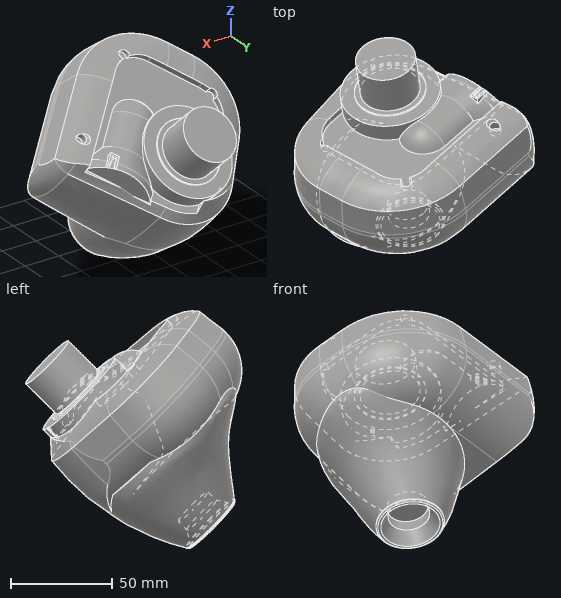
import cadquery as cq
import math


AXIS_DIRECTION = (-10.7, 70.7, 69.9)
LENGTH_DIRECTION = (65.4, 58.0, -48.6)

NOZZLE_LEVEL = -59.6
SHELL_BOTTOM = -23.8
BELLY_LEVEL = 4.8
SEAM_LEVEL = 19.4
FLOOR_LEVEL = 23.8
CROWN_LEVEL = 28.5
FLANGE_ROOT = 21.4
FLANGE_TOP = 33.3
SHAFT_TOP = 55.5

AXIS_ROUND = 33.0
LEFT_SIDE = -62.5
FRONT_SIDE = -62.1
END_SIDE = 32.1
BACK_CORNER = 35.9
BACK_CORNER_Y = -5.7
FRONT_CORNER = 41.6
END_CORNER = 10.7
SHELL_REACH = 83.1
BELLY_BULGE = 1.8
BOTTOM_FILLET = 26.1

CROWN_STEPS = [(0, SEAM_LEVEL), (5.9, 24.5), (11.9, 27.0), (21.4, CROWN_LEVEL)]
END_LEAN = 4.2

LOWER_END = [
    (SHELL_BOTTOM, 29.5, 27.3),
    (-11.9, 32.8, 33.8),
    (BELLY_LEVEL, 34.0, 37.3),
    (SEAM_LEVEL, AXIS_ROUND, 34.9),
]
CROWN_END = [LOWER_END[-1], (CROWN_LEVEL, 24.7, 30.3)]

NOZZLE_RADIUS = 17.0
LIP_HEIGHT = 1.2
LIP_BEVEL = 0.8

NECK_SECTIONS = [
    (NOZZLE_LEVEL + LIP_HEIGHT, NOZZLE_RADIUS, NOZZLE_RADIUS, 0),
    (-51.1, 22.0, 21.1, 0.8),
    (-42.8, 27.2, 24.7, 2.3),
    (-33.3, 33.7, 28.5, 5.2),
    (-26.1, 39.9, 32.3, 9.4),
    (-20.2, 44.5, 35.0, 13.0),
    (-11.9, 45.4, 35.0, 12.8),
]
OVERHANG_ANGLE = 200.0

SOCKET_MOUTH = 14.7
SOCKET_BORE = 10.3
SOCKET_CONE_DEPTH = 7.1
SOCKET_DEPTH = 13.1

RECESS_LEFT = -44.0
RECESS_FRONT = -46.3
RECESS_BACK = 16.6
RECESS_CORNER = 16.6
NOTCH_RADIUS = 2.7
NOTCH_CENTRES = [(-41.8, 6.8), (-39.2, -43.7)]

MOUND_Y = -27.9
MOUND_TOP = 32.1
MOUND_RADIUS = 14.3
MOUND_START = -7.1
FLARE_START = 14.3
FLARE_END = 24.9
FLARE_RADIUS = 23.8
FLARE_TOP = 33.5

HOOK_Y = -36.8
HOOK_LENGTH = 7.1
HOOK_WIDTH = 4.8
HOOK_TOP = 32.8
HOOK_WALL = 1.2
HOOK_DEPTH = 1.4

SCREW_CENTRE = (16.5, -53.5)
SCREW_RADIUS = 2.6
SCREW_SEAT = 25.7
SCREW_BOTTOM = 21.4

FLANGE_RADIUS = 24.9
COLLAR_RADIUS = 17.8
COLLAR_HEIGHT = 0.8
SHAFT_RADIUS = 15.0
KEYWAY_WIDTH = 1.4
KEYWAY_DEPTH = 1.0
KEYWAY_ANGLE = 63.0


def polar(centre, radius, angle):
    """Point on a circle; the angle is in degrees from +X."""
    turn = math.radians(angle)
    return (centre[0] + radius * math.cos(turn), centre[1] + radius * math.sin(turn))


def tangent_angle(centre_a, radius_a, centre_b, radius_b):
    """Direction of the normal of the outer line that touches both circles."""
    dx = centre_a[0] - centre_b[0]
    dy = centre_a[1] - centre_b[1]
    heading = math.degrees(math.atan2(dy, dx))
    opening = math.degrees(math.acos((radius_b - radius_a) / math.hypot(dx, dy)))
    return (heading - opening) % 360


def shell_outline(level, grow):
    """Outline of the shell, running on past its end."""
    back = (LEFT_SIDE + BACK_CORNER, BACK_CORNER_Y)
    front = (LEFT_SIDE + FRONT_CORNER, FRONT_SIDE + FRONT_CORNER)
    back_radius = BACK_CORNER + grow
    front_radius = FRONT_CORNER + grow
    axis_radius = AXIS_ROUND + grow
    touch = tangent_angle(back, back_radius, (0, 0), axis_radius)
    return (
        cq.Workplane("XY")
        .workplane(offset=level)
        .moveTo(SHELL_REACH, FRONT_SIDE - grow)
        .lineTo(*polar(polar((0, 0), axis_radius, touch), SHELL_REACH, touch - 90))
        .lineTo(*polar(back, back_radius, touch))
        .threePointArc(polar(back, back_radius, (touch + 180) / 2), polar(back, back_radius, 180))
        .lineTo(*polar(front, front_radius, 180))
        .threePointArc(polar(front, front_radius, 225), polar(front, front_radius, 270))
        .close()
    )


def end_outline(level, axis_radius, end):
    """Region that keeps the flat end, its front corner and the round about the axis."""
    front = FRONT_SIDE - BELLY_BULGE
    corner = (end - END_CORNER, front + END_CORNER)
    return (
        cq.Workplane("XY")
        .workplane(offset=level)
        .moveTo(-SHELL_REACH, front)
        .lineTo(corner[0], front)
        .threePointArc(polar(corner, END_CORNER, -45), polar(corner, END_CORNER, 0))
        .lineTo(axis_radius, 0)
        .threePointArc(polar((0, 0), axis_radius, 45), (0, axis_radius))
        .lineTo(-SHELL_REACH, axis_radius)
        .close()
    )


def loft(sections, ruled=False):
    wires = [section.val() for section in sections]
    return cq.Workplane(cq.Solid.makeLoft(wires, ruled))


def shell():
    """Rounded bowl and belly below the seam, domed crown above it."""
    bowl = (
        shell_outline(SHELL_BOTTOM, BELLY_BULGE)
        .extrude(BELLY_LEVEL - SHELL_BOTTOM)
        .faces("<Z")
        .edges("not >X")
        .fillet(BOTTOM_FILLET)
    )
    belly_sections = [shell_outline(BELLY_LEVEL, BELLY_BULGE), shell_outline(SEAM_LEVEL, 0)]
    belly = loft(belly_sections, ruled=True)
    crown = loft([shell_outline(level, -inset) for inset, level in CROWN_STEPS])
    lower_end = loft([end_outline(*section) for section in LOWER_END])
    crown_end = loft([end_outline(*section) for section in CROWN_END], ruled=True)
    return bowl.union(belly).intersect(lower_end).union(crown.intersect(crown_end))


def neck_outline(level, half_length, half_width, shift):
    """Oval whose long axis points at the neck's overhang."""
    return (
        cq.Workplane("XY")
        .workplane(offset=level)
        .center(*polar((0, 0), shift, OVERHANG_ANGLE))
        .ellipse(half_length, half_width, rotation_angle=OVERHANG_ANGLE)
    )


def neck():
    """Skewed cone that narrows to the nozzle."""
    cone = loft([neck_outline(*section) for section in NECK_SECTIONS])
    rim = cq.Workplane("XY").workplane(offset=NOZZLE_LEVEL).circle(NOZZLE_RADIUS).extrude(LIP_HEIGHT)
    return cone.union(rim.faces("<Z").edges().chamfer(LIP_BEVEL))


def socket():
    """Tapered mouth and blind bore of the nozzle."""
    cone_level = NOZZLE_LEVEL + SOCKET_CONE_DEPTH
    bore_level = NOZZLE_LEVEL + SOCKET_DEPTH
    return (
        cq.Workplane("XZ")
        .moveTo(0, NOZZLE_LEVEL)
        .lineTo(SOCKET_MOUTH, NOZZLE_LEVEL)
        .lineTo(SOCKET_BORE, cone_level)
        .lineTo(SOCKET_BORE, bore_level)
        .lineTo(0, bore_level)
        .close()
        .revolve(360, (0, 0, 0), (0, 1, 0))
    )


def recess():
    """Shallow pocket around the flange with a notch at each left corner."""
    height = CROWN_LEVEL - FLOOR_LEVEL
    floor = cq.Workplane("XY").workplane(offset=FLOOR_LEVEL)
    length = SHELL_REACH - RECESS_LEFT
    width = RECESS_BACK - RECESS_FRONT
    pocket = (
        floor.center(RECESS_LEFT, RECESS_FRONT)
        .rect(length, width, centered=False)
        .extrude(height)
        .edges("|Z and <X")
        .fillet(RECESS_CORNER)
    )
    notches = floor.pushPoints(NOTCH_CENTRES).circle(NOTCH_RADIUS).extrude(height)
    return pocket.union(notches)


def mound():
    """Half-buried rod with a ball end that flares towards the flat end."""
    axis_z = MOUND_TOP - MOUND_RADIUS
    ball = cq.Workplane("XY").sphere(MOUND_RADIUS).translate((MOUND_START, MOUND_Y, axis_z))
    along = cq.Workplane("YZ").workplane(offset=MOUND_START)
    rod = along.center(MOUND_Y, axis_z).circle(MOUND_RADIUS).extrude(FLARE_START - MOUND_START)
    flare_z = FLARE_TOP - FLARE_RADIUS
    flare = (
        cq.Workplane("YZ")
        .workplane(offset=FLARE_START)
        .center(MOUND_Y, axis_z)
        .circle(MOUND_RADIUS)
        .workplane(offset=FLARE_END - FLARE_START)
        .center(0, flare_z - axis_z)
        .circle(FLARE_RADIUS)
        .loft()
    )
    end = (
        cq.Workplane("YZ")
        .workplane(offset=FLARE_END)
        .center(MOUND_Y, flare_z)
        .circle(FLARE_RADIUS)
        .extrude(END_SIDE - FLARE_END)
    )
    inside = (
        cq.Workplane("XY")
        .workplane(offset=FLOOR_LEVEL - 1.2)
        .center(RECESS_LEFT, RECESS_FRONT)
        .rect(END_SIDE - RECESS_LEFT, RECESS_BACK - RECESS_FRONT, centered=False)
        .extrude(FLARE_TOP)
    )
    return ball.union(rod).union(flare).union(end).intersect(inside)


def end_trim():
    """Wedge that leans the end of the mound back above the seam."""
    return (
        cq.Workplane("XZ")
        .moveTo(END_SIDE, SEAM_LEVEL)
        .lineTo(END_SIDE - END_LEAN, FLANGE_TOP + COLLAR_HEIGHT)
        .lineTo(SHELL_REACH, FLANGE_TOP + COLLAR_HEIGHT)
        .lineTo(SHELL_REACH, SEAM_LEVEL)
        .close()
        .extrude(SHELL_REACH, both=True)
    )


def hook():
    """Open U standing on the end of the mound."""
    right = END_SIDE - END_LEAN
    left = right - HOOK_LENGTH
    block = cq.Workplane("XY").box(
        HOOK_LENGTH, HOOK_WIDTH, HOOK_TOP - FLOOR_LEVEL, centered=(False, True, False)
    )
    groove = (
        cq.Workplane("XY")
        .workplane(offset=HOOK_TOP - FLOOR_LEVEL - HOOK_DEPTH)
        .center(HOOK_WALL, 0)
        .rect(HOOK_LENGTH, HOOK_WIDTH - 2 * HOOK_WALL, centered=(False, True))
        .extrude(HOOK_DEPTH)
    )
    return block.cut(groove).translate((left, HOOK_Y, FLOOR_LEVEL))


def screw_hole():
    """Blind bore with a 45-degree countersink."""
    rise = CROWN_LEVEL - SCREW_SEAT
    bore = (
        cq.Workplane("XY")
        .workplane(offset=SCREW_BOTTOM)
        .center(*SCREW_CENTRE)
        .circle(SCREW_RADIUS)
        .extrude(CROWN_LEVEL - SCREW_BOTTOM)
    )
    countersink = cq.Solid.makeCone(
        SCREW_RADIUS, SCREW_RADIUS + rise, rise, pnt=(*SCREW_CENTRE, SCREW_SEAT)
    )
    return bore.union(countersink)


def shaft():
    """Keyed flange, low collar and plain shaft."""
    root = cq.Workplane("XY").workplane(offset=FLANGE_ROOT)
    flange = root.circle(FLANGE_RADIUS).extrude(FLANGE_TOP - FLANGE_ROOT)
    collar = root.circle(COLLAR_RADIUS).extrude(FLANGE_TOP + COLLAR_HEIGHT - FLANGE_ROOT)
    rod = root.circle(SHAFT_RADIUS).extrude(SHAFT_TOP - FLANGE_ROOT)
    keyway = (
        cq.Workplane("XY")
        .workplane(offset=FLOOR_LEVEL)
        .center(FLANGE_RADIUS, 0)
        .rect(2 * KEYWAY_DEPTH, KEYWAY_WIDTH)
        .extrude(FLANGE_TOP - FLOOR_LEVEL)
        .rotate((0, 0, 0), (0, 0, 1), KEYWAY_ANGLE)
    )
    return flange.cut(keyway).union(collar).union(rod)


ridge = mound().union(hook()).cut(end_trim())
upper = shell().cut(recess()).union(shaft()).union(ridge).cut(screw_hole())
upright = upper.union(neck()).cut(socket())

placing = cq.Plane(origin=(0, 0, 0), xDir=LENGTH_DIRECTION, normal=AXIS_DIRECTION)
result = cq.Workplane(upright.val().moved(cq.Location(placing)))